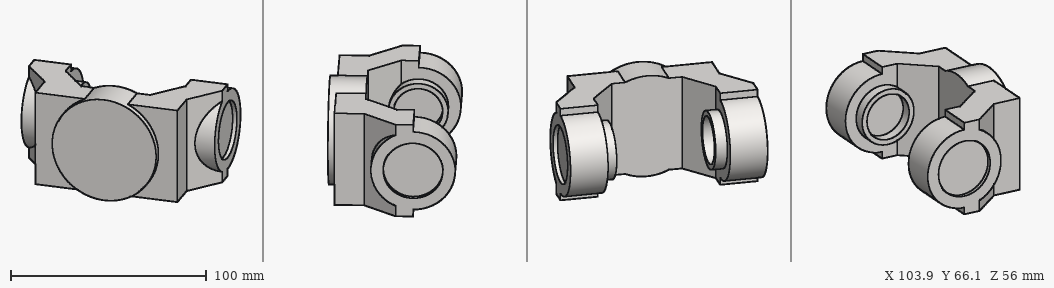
import cadquery as cq

overall_width = 103.9
half_width = overall_width / 2

disc_radius = 28.0
disc_depth = 19.0

body_height = 50.9
body_front_y = 3.7
base_half_width = 38.1
base_back_y = disc_depth
fork_half_gap = 18.5
arm_thickness = 19.7
arm_bend_y = 35.5
arm_inner_x = half_width - arm_thickness

eye_radius = 21.6
eye_axis_y = 44.5
outer_recess_depth = 2.3

collar_radius = 15.3
collar_length = 6.1
collar_bore_radius = 12.5
collar_bore_depth = 6.1
collar_inner_x = arm_inner_x - collar_length


def eye_cylinder(radius, start_x, length):
    """Cylinder on the eye axis, running from start_x toward +X."""
    return cq.Workplane("YZ", origin=(start_x, eye_axis_y, 0)).circle(radius).extrude(length)


def fork_body():
    """Base block with two arms that splay outward and end at the eye axis."""
    right_side = [
        (base_half_width, body_front_y),
        (base_half_width, base_back_y),
        (half_width, arm_bend_y),
        (half_width, eye_axis_y),
        (arm_inner_x, eye_axis_y),
        (arm_inner_x, arm_bend_y),
        (fork_half_gap, base_back_y),
    ]
    left_side = [(-x, y) for x, y in reversed(right_side)]
    outline = cq.Workplane("XY").polyline(right_side + left_side).close()
    return outline.extrude(body_height / 2, both=True)


def front_disc():
    """Disc with its flat face at Y = 0."""
    return cq.Workplane("XZ").circle(disc_radius).extrude(-disc_depth)


def both_sides(right_shape):
    """Join a shape on the +X arm with its mirror image on the -X arm."""
    return right_shape.union(right_shape.mirror("YZ"))


eye = eye_cylinder(eye_radius, arm_inner_x, arm_thickness)
collar = eye_cylinder(collar_radius, collar_inner_x, collar_length)
outer_recess = eye_cylinder(collar_radius, half_width - outer_recess_depth, outer_recess_depth)
collar_bore = eye_cylinder(collar_bore_radius, collar_inner_x, collar_bore_depth)

result = fork_body().union(front_disc())
result = result.union(both_sides(eye.union(collar)))
result = result.cut(both_sides(outer_recess)).cut(both_sides(collar_bore))